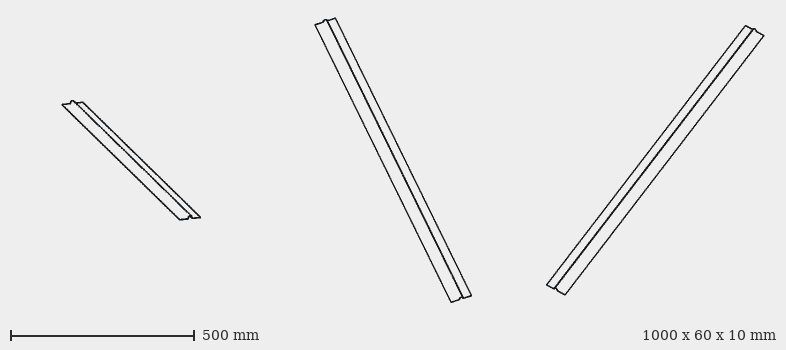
import cadquery as cq
import math

length = 1000.0
width = 60.0
height = 10.0

thickness = 2.0
rib_outer_radius = 6.0

rib_inner_radius = rib_outer_radius - thickness
bend_centre_z = height - rib_outer_radius
bend_outer_radius = bend_centre_z
bend_inner_radius = bend_outer_radius - thickness
bend_centre_y = rib_outer_radius + bend_inner_radius
half_width = width / 2


def bend_midpoint(radius):
    """Middle of the quarter-circle bend on the +Y side."""
    offset = radius * math.sqrt(0.5)
    return (bend_centre_y - offset, bend_centre_z - offset)


def mirrored(point):
    """The matching point on the -Y side of the section."""
    y, z = point
    return (-y, z)


def rib_profile(sketch, rib_radius, bend_radius, side):
    """Continue the outline over the rib, starting from the flange on the given side (+1 or -1)."""
    foot = (bend_centre_y, bend_centre_z - bend_radius)
    points = [foot, bend_midpoint(bend_radius), (rib_radius, bend_centre_z)]
    near = points if side > 0 else [mirrored(point) for point in points]
    far = [mirrored(point) for point in near]
    crest = (0, bend_centre_z + rib_radius)
    return (
        sketch.lineTo(*near[0])
        .threePointArc(near[1], near[2])
        .threePointArc(crest, far[2])
        .threePointArc(far[1], far[0])
    )


def strip_section():
    """Closed outline of the bent sheet in the YZ plane, underside of the flanges at Z = 0."""
    outline = cq.Workplane("YZ").moveTo(-half_width, 0)
    outline = rib_profile(outline, rib_inner_radius, bend_outer_radius, side=-1)
    outline = outline.lineTo(half_width, 0).lineTo(half_width, thickness)
    outline = rib_profile(outline, rib_outer_radius, bend_inner_radius, side=1)
    return outline.lineTo(-half_width, thickness).close()


result = strip_section().extrude(length / 2, both=True)